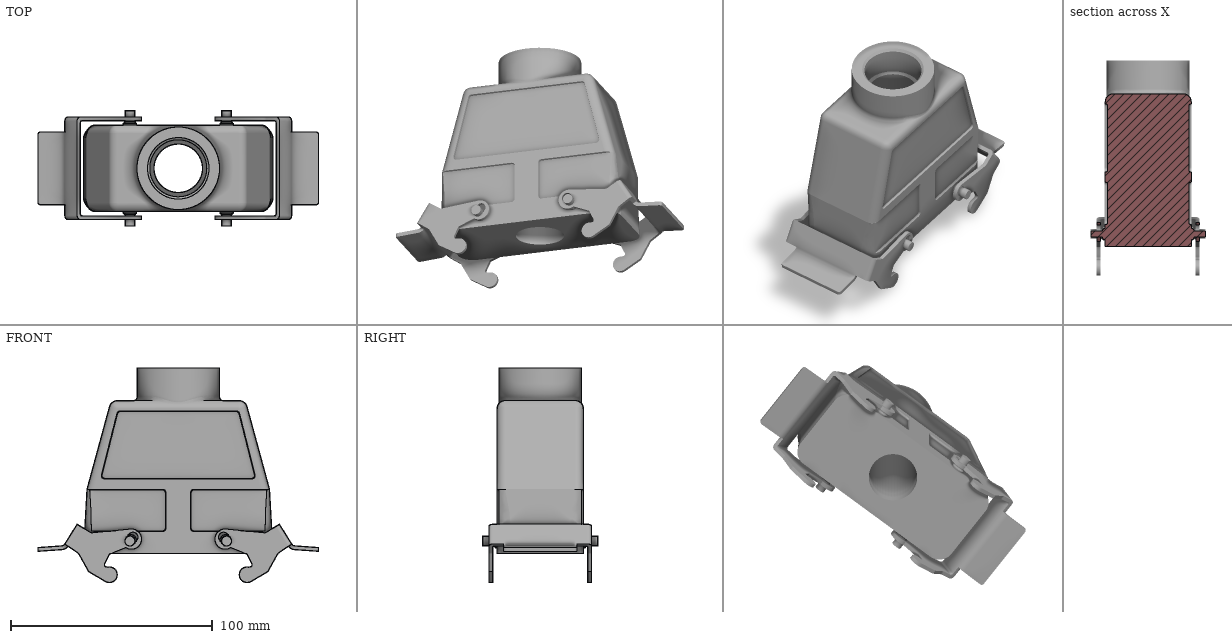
import cadquery as cq
import math

NEAR = 0.1

HOOD_HALF_Y = 21.5
BASE_HALF_X = 47.0
BELT_HALF_X = 45.3
TOP_HALF_X = 33.3
BELT_Z = 31.9
HOOD_TOP_Z = 75.9
EDGE_RADIUS = 4.2
BASE_CORNER_RADIUS = 7.5
WAIST_CORNER_RADIUS = 7.1
WAIST_Z = 12.8

COLLAR_DIAMETER = 41.0
COLLAR_TOP_Z = 92.0
COLLAR_FLARE = 1.8
ENTRY_DIAMETER = 28.3
ENTRY_DEPTH = 14.2
ENTRY_CHAMFER = 1.1
BORE_DIAMETER = 24.0

PANEL_DEPTH = 1.1
PANEL_DRAFT = 15.0
PANEL_CORNER_RADIUS = 1.7
UPPER_PANEL_Z = (37.0, 70.7)
UPPER_PANEL_HALF_X = (38.6, 30.1)
LOWER_PANEL_Z = (11.0, BELT_Z)
LOWER_PANEL_INNER_X = 6.1

PIN_X = 24.0
PIN_Z = 6.3
PIN_DIAMETER = 4.9
PIN_SPAN = 57.2
BOSS_DIAMETER = 6.7
BOSS_HEIGHT = 1.4
BOSS_CHAMFER = 0.7

SHEET = 2.0
LEVER_HALF_Y = 25.5
PLATE_TILT = 32.0
PLATE_ANGLE = 270 - PLATE_TILT
PLATE_INWARD = -PLATE_TILT
BEND_OUTER_RADIUS = 2.1
BEND_INNER_RADIUS = 1.1
LEVER_TIP = (-50.1, 14.6)
PLATE_WIDTH = 11.5
SLOT_TRAVEL = (1.5, 2.0)
EYE_RADIUS = 5.0
EYE_END_ANGLE = 237.0
HOOK_CENTER = (-34.1, -10.5)
HOOK_RADIUS = 3.9
HOOK_TOP_ANGLE = 100.0
HOOK_BACK = (-44.4, -8.9)
ARM_BACK = (-49.5, 0.1)
ARM_TOP_CORNER = (-43.2, 10.3)
HOOK_THROAT = (-37.0, -6.3)
ARM_FRONT = (-34.1, -0.3)
ARM_CORNER_RADIUS = 2.1
THROAT_RADIUS = 1.0
CHANNEL_REACH = 55.7

TAB_END_X = -69.6
TAB_HALF_Y = 18.1
TAB_SLOPE = 4.0
TAB_CORNER_RADIUS = 1.4
TAB_BEND_RADIUS = 2.0


def shifted(point, distance, angle):
    """Point moved by a distance in a direction given in degrees."""
    turn = math.radians(angle)
    return (point[0] + distance * math.cos(turn), point[1] + distance * math.sin(turn))


def tangent_point(point, center, radius, side):
    """Where a line from a point touches a circle; side +1 or -1 picks the tangent."""
    reach = math.dist(point, center)
    toward_point = math.atan2(point[1] - center[1], point[0] - center[0])
    angle = toward_point + side * math.acos(radius / reach)
    return (center[0] + radius * math.cos(angle), center[1] + radius * math.sin(angle))


def prism_along_y(outline, half_y):
    """Extrude a closed XZ outline symmetrically about Y = 0."""
    return outline.extrude(half_y, both=True)


def trapezoid(bottom_half_x, top_half_x, bottom_z, top_z):
    """Closed XZ outline, symmetric about X = 0."""
    return cq.Workplane("XZ").polyline([
        (-bottom_half_x, bottom_z),
        (bottom_half_x, bottom_z),
        (top_half_x, top_z),
        (-top_half_x, top_z),
    ]).close()


def edges_near(point):
    """Selector for the edges that run along Y through an XZ point."""
    return cq.selectors.BoxSelector(
        (point[0] - NEAR, -HOOD_HALF_Y, point[1] - NEAR),
        (point[0] + NEAR, HOOD_HALF_Y, point[1] + NEAR),
    )



def hood_upper():
    """Tapered part above the belt, rounded on every edge but the belt."""
    block = prism_along_y(trapezoid(BELT_HALF_X, TOP_HALF_X, BELT_Z, HOOD_TOP_Z), HOOD_HALF_Y)
    return block.faces(">Z or <X or >X").edges("not <Z").fillet(EDGE_RADIUS)


def corner_waste(corner_x, radius, z):
    """Closed outline between a sharp corner at +X +Y and the arc that rounds it."""
    center = (corner_x - radius, HOOD_HALF_Y - radius)
    return (
        cq.Workplane("XY", origin=(0, 0, z))
        .moveTo(center[0], HOOD_HALF_Y)
        .lineTo(corner_x, HOOD_HALF_Y)
        .lineTo(corner_x, center[1])
        .threePointArc(shifted(center, radius, 45), (center[0], HOOD_HALF_Y))
        .close()
        .val()
    )


def hood_lower():
    """Base part, with corner rounds that grow toward the rim."""
    block = prism_along_y(trapezoid(BASE_HALF_X, BELT_HALF_X, 0, BELT_Z), HOOD_HALF_Y)
    waist_half_x = BASE_HALF_X + (BELT_HALF_X - BASE_HALF_X) * WAIST_Z / BELT_Z
    waste = cq.Workplane(cq.Solid.makeLoft([
        corner_waste(BASE_HALF_X, BASE_CORNER_RADIUS, 0),
        corner_waste(waist_half_x, WAIST_CORNER_RADIUS, WAIST_Z),
        corner_waste(BELT_HALF_X, EDGE_RADIUS, BELT_Z),
    ]))
    for corner in (waste, waste.mirror("YZ"), waste.mirror("XZ"), waste.mirror("YZ").mirror("XZ")):
        block = block.cut(corner)
    return block


def with_collar(hood):
    """Hood joined to the cable collar, with a flared root."""
    collar = (
        cq.Workplane("XY", origin=(0, 0, BELT_Z))
        .circle(COLLAR_DIAMETER / 2)
        .extrude(COLLAR_TOP_Z - BELT_Z)
    )
    reach = COLLAR_DIAMETER / 2 + NEAR
    flare_zone = cq.selectors.BoxSelector(
        (-reach, -reach, HOOD_TOP_Z - EDGE_RADIUS),
        (reach, reach, HOOD_TOP_Z + NEAR),
        boundingbox=True,
    )
    return hood.union(collar).edges(flare_zone).fillet(COLLAR_FLARE)


def bore_cutter():
    """Stepped bore through collar and hood, chamfered at its mouth."""
    bore = cq.Workplane("XY").circle(BORE_DIAMETER / 2).extrude(COLLAR_TOP_Z)
    entry = (
        cq.Workplane("XY", origin=(0, 0, COLLAR_TOP_Z - ENTRY_DEPTH))
        .circle(ENTRY_DIAMETER / 2)
        .extrude(ENTRY_DEPTH)
    )
    mouth = (
        cq.Workplane("XY", origin=(0, 0, COLLAR_TOP_Z))
        .circle(ENTRY_DIAMETER / 2 + ENTRY_CHAMFER)
        .extrude(-ENTRY_CHAMFER, taper=45)
    )
    return bore.union(entry).union(mouth)


def panel_cutter(points):
    """Drafted, round-cornered pocket sunk into the -Y face."""
    sketch = cq.Sketch().polygon(points + points[:1]).vertices().fillet(PANEL_CORNER_RADIUS)
    return (
        cq.Workplane("XZ", origin=(0, -HOOD_HALF_Y, 0))
        .placeSketch(sketch)
        .extrude(-PANEL_DEPTH, taper=PANEL_DRAFT)
    )


def panel_cutters():
    """One wide upper panel and two lower panels, open at the ends, for each long face."""
    bottom_z, top_z = UPPER_PANEL_Z
    bottom_x, top_x = UPPER_PANEL_HALF_X
    upper = panel_cutter([(-bottom_x, bottom_z), (bottom_x, bottom_z), (top_x, top_z), (-top_x, top_z)])
    low_z, high_z = LOWER_PANEL_Z
    open_x = BASE_HALF_X + 2 * PANEL_CORNER_RADIUS
    lower = panel_cutter([
        (LOWER_PANEL_INNER_X, low_z),
        (open_x, low_z),
        (open_x, high_z),
        (LOWER_PANEL_INNER_X, high_z),
    ])
    front = [upper, lower, lower.mirror("YZ")]
    return front + [panel.mirror("XZ") for panel in front]


def pivot_pin(x, side):
    """Pin on a chamfered boss; side is +1 for the +Y face and -1 for the -Y face."""
    face = cq.Workplane("XZ", origin=(x, side * HOOD_HALF_Y, PIN_Z))
    boss = face.circle(BOSS_DIAMETER / 2).extrude(-side * BOSS_HEIGHT)
    boss = boss.faces(">Y" if side > 0 else "<Y").chamfer(BOSS_CHAMFER)
    pin = face.circle(PIN_DIAMETER / 2).extrude(-side * (PIN_SPAN / 2 - HOOD_HALF_Y))
    return boss.union(pin)


def make_hood():
    """Hood body with its collar, panels, bore and four pivot pins."""
    hood = with_collar(hood_upper().union(hood_lower()))
    for panel in panel_cutters():
        hood = hood.cut(panel)
    hood = hood.cut(bore_cutter())
    for x in (-PIN_X, PIN_X):
        for side in (-1, 1):
            hood = hood.union(pivot_pin(x, side))
    return hood



def arm_outline():
    """Side shape of the lever: plate end, pivot eye and hook."""
    eye = (-PIN_X + SLOT_TRAVEL[0] / 2, PIN_Z + SLOT_TRAVEL[1] / 2)
    foot = shifted(LEVER_TIP, PLATE_WIDTH, PLATE_ANGLE)
    eye_top = tangent_point(ARM_TOP_CORNER, eye, EYE_RADIUS, -1)
    eye_bottom = shifted(eye, EYE_RADIUS, EYE_END_ANGLE)
    hook_bottom = tangent_point(HOOK_BACK, HOOK_CENTER, HOOK_RADIUS, 1)
    hook_top = shifted(HOOK_CENTER, HOOK_RADIUS, HOOK_TOP_ANGLE)
    return (
        cq.Workplane("XZ")
        .moveTo(*LEVER_TIP)
        .lineTo(*ARM_TOP_CORNER)
        .lineTo(*eye_top)
        .threePointArc(shifted(eye, EYE_RADIUS, 0), eye_bottom)
        .lineTo(*ARM_FRONT)
        .lineTo(*HOOK_THROAT)
        .lineTo(*hook_top)
        .threePointArc(shifted(HOOK_CENTER, HOOK_RADIUS, 0), hook_bottom)
        .lineTo(*HOOK_BACK)
        .lineTo(*ARM_BACK)
        .lineTo(*foot)
        .close()
    )


def channel():
    """Rounded U section, running along the plate, that the lever is bent to."""
    start = shifted(LEVER_TIP, -CHANNEL_REACH, PLATE_ANGLE)
    inward = shifted((0, 0), 1, PLATE_INWARD)
    along = shifted((0, 0), 1, PLATE_ANGLE)
    section = cq.Workplane(cq.Plane(
        origin=(start[0], 0, start[1]),
        xDir=(inward[0], 0, inward[1]),
        normal=(along[0], 0, along[1]),
    ))
    plate_face = cq.selectors.DirectionNthSelector(cq.Vector(inward[0], 0, inward[1]), 0)

    def block(wall, radius):
        depth = CHANNEL_REACH - wall
        width = 2 * (LEVER_HALF_Y - wall)
        solid = section.center(wall + depth / 2, 0).rect(depth, width).extrude(2 * CHANNEL_REACH)
        return solid.faces(plate_face).edges("not |Y").fillet(radius)

    return block(0, BEND_OUTER_RADIUS).cut(block(SHEET, BEND_INNER_RADIUS))


def tab():
    """Thumb tab with a strip of the plate above its bend."""
    tab_angle = 180 + TAB_SLOPE
    turn = PLATE_ANGLE - tab_angle
    bend_length = TAB_BEND_RADIUS * math.tan(math.radians(turn / 2))
    knee = shifted(LEVER_TIP, PLATE_WIDTH + bend_length, PLATE_ANGLE)
    tab_length = (knee[0] - TAB_END_X) / math.cos(math.radians(TAB_SLOPE))
    end = shifted(knee, tab_length, tab_angle)
    inner_knee = shifted(knee, SHEET / math.cos(math.radians(turn / 2)), PLATE_INWARD - turn / 2)
    plate_top = shifted(knee, -PLATE_WIDTH / 2, PLATE_ANGLE)
    strip = prism_along_y(
        cq.Workplane("XZ").polyline([
            end,
            knee,
            plate_top,
            shifted(plate_top, SHEET, PLATE_INWARD),
            inner_knee,
            shifted(end, SHEET, TAB_SLOPE - 90),
        ]).close(),
        TAB_HALF_Y,
    )
    strip = strip.edges(edges_near(knee)).fillet(TAB_BEND_RADIUS)
    strip = strip.edges(edges_near(inner_knee)).fillet(TAB_BEND_RADIUS + SHEET)
    return strip.faces("<X").edges("not |Y").fillet(TAB_CORNER_RADIUS)


def pivot_slot():
    """Slot through both arms; the pin rests at its lower outer end."""
    start = (-PIN_X, PIN_Z)
    end = (start[0] + SLOT_TRAVEL[0], start[1] + SLOT_TRAVEL[1])
    angle = math.degrees(math.atan2(SLOT_TRAVEL[1], SLOT_TRAVEL[0]))
    radius = PIN_DIAMETER / 2
    outline = (
        cq.Workplane("XZ")
        .moveTo(*shifted(start, radius, angle - 90))
        .lineTo(*shifted(end, radius, angle - 90))
        .threePointArc(shifted(end, radius, angle), shifted(end, radius, angle + 90))
        .lineTo(*shifted(start, radius, angle + 90))
        .threePointArc(shifted(start, radius, angle + 180), shifted(start, radius, angle - 90))
        .close()
    )
    return prism_along_y(outline, PIN_SPAN / 2)


def make_lever(side):
    """Locking lever at the -X end (side -1) or the +X end (side +1)."""
    blank = prism_along_y(arm_outline(), LEVER_HALF_Y)
    for corner in (ARM_TOP_CORNER, ARM_BACK):
        blank = blank.edges(edges_near(corner)).fillet(ARM_CORNER_RADIUS)
    blank = blank.edges(edges_near(HOOK_THROAT)).fillet(THROAT_RADIUS)
    lever = blank.intersect(channel()).union(tab()).cut(pivot_slot())
    return lever if side < 0 else lever.mirror("YZ")


hood = make_hood()
levers = [make_lever(side) for side in (-1, 1)]

result = cq.Compound.makeCompound([hood.solids().val(), *(lever.solids().val() for lever in levers)])